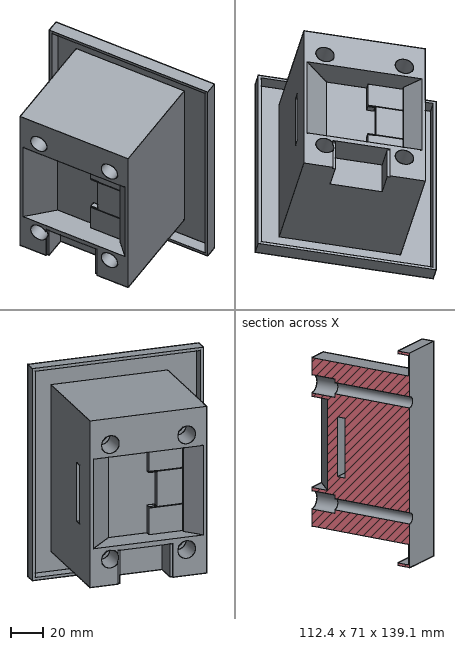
import cadquery as cq

plate_width = 112.4
plate_height = 139.1
plate_thickness = 8.5
rim_width = 2.0
web_thickness = 1.0

total_depth = 71
box_left = -41.3
box_width = 76.7
box_height = 109.3

pocket_left = -39.2
pocket_right = 33.1
pocket_height = 58.7
pocket_depth = 15.7
floor_left = pocket_left + pocket_depth
floor_right = 23.8
right_slope_depth = 10.2

pad_left = 1.8
pad_depth = 12.0
tongue_left = 7
tongue_height = 23.1
block_gap = 23.9

lip_right = 6.4
lip_gap = 22.3
lip_setback = 0.4

notch_center = -4.9
notch_top = -32.5
notch_step_width = 36.0
notch_step_depth = 1.1
notch_width = 32.8
notch_depth = 15.5

slot_near = 18.9
slot_width = 5.0
slot_height = 38.4
slot_depth = 13.9

hole_diameter = 7
counterbore_diameter = 11.5
counterbore_depth = 16.7
hole_center_x = -2.9
hole_spacing_x = 50.1
hole_spacing_z = 75.1


def block(x_min, x_max, y_min, y_max, z_min, z_max):
    """Box given by its limits along each axis."""
    size = (x_max - x_min, y_max - y_min, z_max - z_min)
    return cq.Workplane("XY").box(*size, centered=False).translate((x_min, y_min, z_min))


def centered_block(width, height, y_min, y_max):
    """Box centred on the Y axis."""
    return block(-width / 2, width / 2, y_min, y_max, -height / 2, height / 2)


def make_body():
    plate_start = total_depth - plate_thickness
    web_start = total_depth - web_thickness
    plate = centered_block(plate_width, plate_height, plate_start, total_depth)
    tray = centered_block(plate_width - 2 * rim_width, plate_height - 2 * rim_width, plate_start, web_start)
    box = block(box_left, box_left + box_width, 0, total_depth, -box_height / 2, box_height / 2)
    return plate.cut(tray).union(box)


def make_pocket():
    """Pocket with sloping sides, less the pad left standing on its floor."""
    outline = [
        (pocket_left, 0),
        (pocket_right, 0),
        (floor_right, right_slope_depth),
        (floor_right, pocket_depth),
        (floor_left, pocket_depth),
    ]
    pocket = cq.Workplane("XY").polyline(outline).close().extrude(pocket_height / 2, both=True)
    pad = block(pad_left, floor_right, pad_depth, pocket_depth, -pocket_height / 2, pocket_height / 2)
    gap = block(pad_left, floor_right, pad_depth, pocket_depth, -block_gap / 2, block_gap / 2)
    tongue = block(tongue_left, floor_right, pad_depth, pocket_depth, -tongue_height / 2, tongue_height / 2)
    lip_depth = pad_depth + lip_setback
    lips = block(pad_left, lip_right, lip_depth, pocket_depth, -block_gap / 2, block_gap / 2)
    lip_space = block(pad_left, lip_right, lip_depth, pocket_depth, -lip_gap / 2, lip_gap / 2)
    return pocket.cut(pad.cut(gap).union(tongue).union(lips.cut(lip_space)))


def make_notch_part(width, depth):
    left = notch_center - width / 2
    return block(left, left + width, 0, depth, -box_height / 2, notch_top)


def make_slot():
    return block(
        box_left, box_left + slot_depth, slot_near, slot_near + slot_width, -slot_height / 2, slot_height / 2
    )


def make_holes(diameter, depth):
    return (
        cq.Workplane("XZ")
        .center(hole_center_x, 0)
        .rarray(hole_spacing_x, hole_spacing_z, 2, 2)
        .circle(diameter / 2)
        .extrude(-depth)
    )


result = (
    make_body()
    .cut(make_pocket())
    .cut(make_notch_part(notch_step_width, notch_step_depth))
    .cut(make_notch_part(notch_width, notch_depth))
    .cut(make_slot())
    .cut(make_holes(counterbore_diameter, counterbore_depth))
    .cut(make_holes(hole_diameter, total_depth))
)